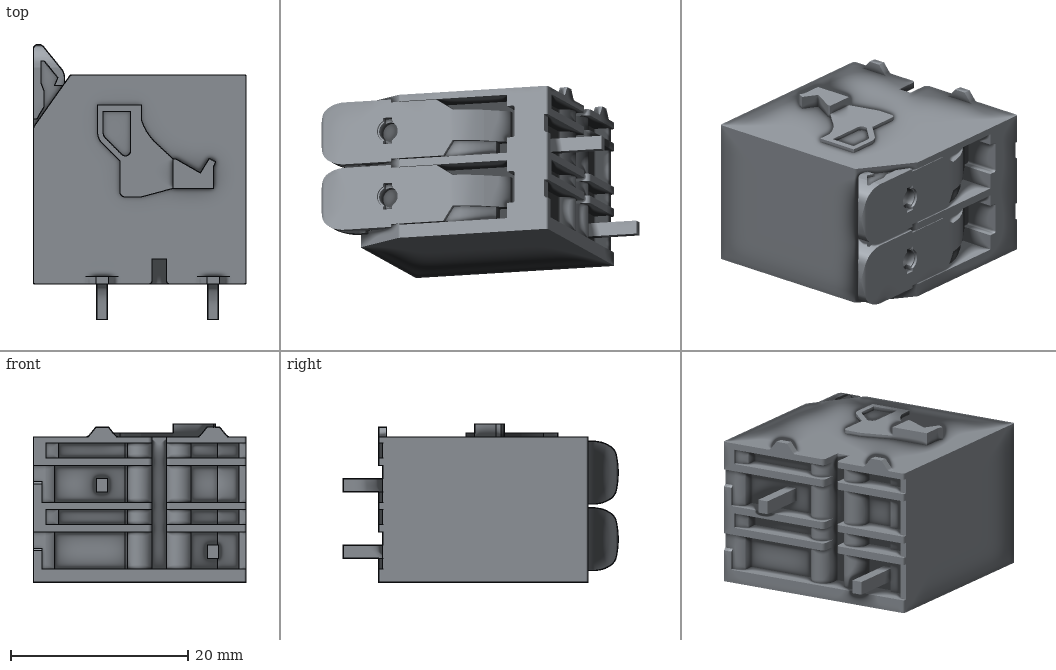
import cadquery as cq
import math


WIDTH = 24.0
DEPTH = 23.6
HEIGHT = 16.4
CORNER_RADIUS = 0.24
PITCH = 7.5
POLES = 2
CHAMFER_START_Y = 17.65
CHAMFER_WIDTH = 4.2
BEVEL_EDGE_RADIUS = 0.4

BASE_THICKNESS = 1.5
PIN_POCKET_HEIGHT = 4.15
SLOT_POCKET_BOTTOM = 6.5
SLOT_POCKET_HEIGHT = 1.68
POCKET_DEPTH = 2.2
RIGHT_POCKET_DEPTH = 2.65
STEP_POCKET_DEPTH = 2.15
PIN_POCKET_LEFT = 1.0
LEFT_POST_X = 1.42
LEDGE_DEPTH = 0.44
PIN_POST_END_X = 2.4
SLOT_POST_END_X = 2.85
PIN_POST_CORNER_Y = 0.9
SLOT_POST_CORNER_Y = 0.84
POST_MID_DROP = 0.3
POCKET_CORNER_RADIUS = 0.2
STEP_X = 20.75
RIGHT_WALL_X = 23.17
COLUMN_RADIUS = 1.4
COLUMN_CENTER_Y = 2.1
RIGHT_COLUMN_SIDE_Y = 1.65
LEFT_COLUMN_ROOT = 0.27
SIDE_NOTCH_BOTTOM = 3.6
SIDE_NOTCH_TOP = BASE_THICKNESS + PIN_POCKET_HEIGHT

SLOT_LEFT = 13.4
SLOT_RIGHT = 15.0
SLOT_DEPTH = 2.83
SLOT_MOUTH_RADIUS = 0.45

EAR_CENTERS = (7.77, 20.3)
EAR_HEIGHT = 1.1
EAR_DEPTH = 0.88
EAR_TOP_HALF = 0.7
EAR_BASE_HALF = 1.6
EAR_ROOT = 0.2

PLATE_THICKNESS = 0.45
HOOK_HEIGHT = 1.45
HOOK_LEFT = 15.77
HOOK_FRONT = 10.8
HOOK_RIGHT = 20.3
HOOK_TOP = 14.1
HOOK_CREST_WIDTH = 0.33
HOOK_NOTCH = (18.83, 12.54)
HOOK_NECK = (HOOK_RIGHT, 13.2)
HOOK_BARB = ((20.55, 13.8), (19.83, 14.15))
PLATE_LEFT = 7.25
PLATE_RIGHT = 12.17
PLATE_BACK = 20.2
PLATE_FRONT = 9.83
PLATE_NECK_X = 9.76
PLATE_NECK_RADIUS = 0.6
PLATE_NECK_TOP = 13.9
PLATE_BEND = ((7.75, 15.9), (7.38, 16.45), (PLATE_LEFT, 17.1))
PLATE_SWEEP = ((PLATE_RIGHT, 18.56), (12.75, 17.25), (13.63, 16.1))
WINDOW_LEFT = 7.88
WINDOW_RIGHT = 10.97
WINDOW_BACK = 19.47
WINDOW_TIP = ((WINDOW_RIGHT, 15.0), (10.6, 14.5), (10.0, 14.6))
WINDOW_BEND = ((8.2, 16.4), (7.96, 16.72), (WINDOW_LEFT, 17.1))

PIN_WIDTH = 1.2
PIN_THICKNESS = 1.5
PIN_LENGTH = 4.0
PIN_BOTTOM = 2.7
PIN_CENTERS = (20.25, 7.75)

BAY_BOTTOM = 1.5
BAY_HEIGHT = 6.64
BAY_FRONT = 4.84
BAY_NOTCH_FRONT = 3.92
BAY_NOTCH_BOTTOM = 3.25
BAY_NOTCH_RADIUS = 0.25
BAY_DEPTH = 4.0
LEVER_MID = 4.86
LEVER_WIDTH = 7.1
LEVER_CORE_WIDTH = 6.45
LEVER_TIP_Y = 27.0
LEVER_TIP_FLAT_Y = 26.5
LEVER_TIP_RADIUS = LEVER_TIP_Y - LEVER_TIP_FLAT_Y
LEVER_BACK_X = 3.54
LEVER_CAP_FRONT = 18.6
LEVER_END_START_Y = 24.4
LEVER_END_BEVEL = (24.82, 3.48)
LEVER_END_SHOULDER = ((25.4, 3.33), (25.93, 3.07))
LEVER_END_CORNER = ((26.48, 2.62), (26.8, 1.9))
LEVER_END_CROWN = ((26.95, 1.0), (LEVER_TIP_Y, 0))
LEVER_TIP_ROUND = ((0.8, LEVER_TIP_Y), (1.0, 26.9), (1.2, 26.7))
LEVER_HEEL_ROUND = ((3.1, 24.35), (3.45, 23.75), (LEVER_BACK_X, 23.1))
COVER_EDGE = ((0.4, LEVER_CAP_FRONT), (1.22, 20.0), (1.22, 21.75), (0.9, 22.6), (0.9, 25.16))
LATCH_EDGE = ((1.22, 25.16), (2.77, 23.27), (2.4, 22.4), (LEVER_BACK_X, 22.4))
LEVER_FLAT_END_Y = 12.4
TAIL_BOTTOM = 3.35
TAIL_TOP = 6.86
TAIL_RADIUS = 7.4
TAIL_ARC_END_Y = 8.03
TAIL_FRONT = 5.5
LOWER_TAIL_ARC_END_Y = 8.6
LOWER_TAIL_FRONT = 7.0
LOWER_TAIL_SETBACK = 0.6
SHOULDER_TOP_Y = 13.2
SHOULDER_TAIL_Y = 11.3

HOLE_Y = 19.0
HOLE_DIAMETER = 2.2
HOLE_MOUTH_DIAMETER = 2.5
HOLE_MOUTH_DEPTH = 0.3
HOLE_DEPTH = 1.8
KEY_WIDTH = 1.05
KEY_SPAN = 3.0
KEY_DEPTH = 1.0

CHAMFER_SLOPE = CHAMFER_WIDTH / (DEPTH - CHAMFER_START_Y)
DIAGONAL = math.sqrt(0.5)


def box(x0, x1, y0, y1, z0, z1):
    """Block between two opposite corners."""
    return cq.Workplane("XY").box(x1 - x0, y1 - y0, z1 - z0, centered=False).translate((x0, y0, z0))


def bevel_x(y):
    """X of the bevelled housing edge at a given Y."""
    return (y - CHAMFER_START_Y) * CHAMFER_SLOPE


def make_shell():
    """Solid housing block with the bevelled corner that the levers lie on."""
    outline = [(0, 0), (WIDTH, 0), (WIDTH, DEPTH), (CHAMFER_WIDTH, DEPTH), (0, CHAMFER_START_Y)]
    block = cq.Workplane("XY").polyline(outline).close().extrude(HEIGHT)
    block = block.edges("|Z and <Y").fillet(CORNER_RADIUS)
    block = block.edges("|Z").edges(">(1,1,0)").fillet(CORNER_RADIUS)
    bevel_edges = cq.selectors.BoxSelector(
        (-BEVEL_EDGE_RADIUS, CHAMFER_START_Y - BEVEL_EDGE_RADIUS, 0),
        (CHAMFER_WIDTH + BEVEL_EDGE_RADIUS, DEPTH + BEVEL_EDGE_RADIUS, HEIGHT),
    )
    return block.edges("|Z").edges(bevel_edges).fillet(BEVEL_EDGE_RADIUS)


def corner_arc(sketch, start, end, center):
    """Run straight to start, then a quarter arc to end about a given centre."""
    chord_mid = ((start[0] + end[0]) / 2, (start[1] + end[1]) / 2)
    stretch = math.sqrt(2)
    mid = tuple(c + (m - c) * stretch for c, m in zip(center, chord_mid))
    return sketch.lineTo(*start).threePointArc(mid, end)


def pocket_profile(left_x, post_end_x, post_corner_y):
    """Plan outline of a pin-side pocket, following right wall, step, columns and left post."""
    r = POCKET_CORNER_RADIUS
    sketch = cq.Workplane("XY").moveTo(left_x, 0).lineTo(WIDTH, 0).lineTo(WIDTH, LEDGE_DEPTH)
    for x, front_y, back_y in (
        (RIGHT_WALL_X, LEDGE_DEPTH, STEP_POCKET_DEPTH),
        (STEP_X, STEP_POCKET_DEPTH, RIGHT_POCKET_DEPTH),
    ):
        sketch = corner_arc(sketch, (x + r, front_y), (x, front_y + r), (x + r, front_y + r))
        sketch = corner_arc(sketch, (x, back_y - r), (x - r, back_y), (x - r, back_y - r))

    column_front_y = COLUMN_CENTER_Y - COLUMN_RADIUS
    left_column_x = SLOT_LEFT - 2 * COLUMN_RADIUS
    right_column_x = SLOT_RIGHT + 2 * COLUMN_RADIUS
    sketch = (
        sketch.lineTo(right_column_x, RIGHT_POCKET_DEPTH)
        .lineTo(right_column_x, RIGHT_COLUMN_SIDE_Y)
        .threePointArc((SLOT_RIGHT + COLUMN_RADIUS, column_front_y), (SLOT_RIGHT, RIGHT_COLUMN_SIDE_Y))
        .lineTo(SLOT_LEFT, COLUMN_CENTER_Y)
        .threePointArc((SLOT_LEFT - COLUMN_RADIUS, column_front_y), (left_column_x, COLUMN_CENTER_Y))
        .lineTo(left_column_x - LEFT_COLUMN_ROOT, POCKET_DEPTH)
    )
    post_root_y = POCKET_DEPTH - r
    post_root_x = post_end_x + r
    sketch = corner_arc(sketch, (post_root_x, POCKET_DEPTH), (post_end_x, post_root_y), (post_root_x, post_root_y))
    post_mid = (
        (LEFT_POST_X + post_end_x) / 2,
        LEDGE_DEPTH + (post_corner_y - LEDGE_DEPTH) * POST_MID_DROP,
    )
    sketch = sketch.lineTo(post_end_x, post_corner_y).threePointArc(post_mid, (LEFT_POST_X, LEDGE_DEPTH))
    if left_x < LEFT_POST_X:
        sketch = sketch.lineTo(left_x, LEDGE_DEPTH)
    return sketch.close()


def make_pole_pockets():
    """Pin pocket, slot pocket and side notch of the lower pole."""
    pin_pocket = pocket_profile(PIN_POCKET_LEFT, PIN_POST_END_X, PIN_POST_CORNER_Y).extrude(PIN_POCKET_HEIGHT)
    pin_pocket = pin_pocket.translate((0, 0, BASE_THICKNESS))
    slot_pocket = pocket_profile(LEFT_POST_X, SLOT_POST_END_X, SLOT_POST_CORNER_Y).extrude(SLOT_POCKET_HEIGHT)
    slot_pocket = slot_pocket.translate((0, 0, SLOT_POCKET_BOTTOM))
    notch = box(0, LEFT_POST_X, 0, LEDGE_DEPTH, SIDE_NOTCH_BOTTOM, SIDE_NOTCH_TOP)
    notch = notch.edges("|X and >Y and <Z").chamfer(CORNER_RADIUS)
    return pin_pocket.union(slot_pocket).union(notch)


def make_central_slot():
    """Vertical slot between the columns, flared by rounded plate corners at its mouth."""
    r = SLOT_MOUTH_RADIUS
    inset = r * (1 - DIAGONAL)
    return (
        cq.Workplane("XY")
        .workplane(offset=BASE_THICKNESS)
        .moveTo(SLOT_LEFT - r, 0)
        .threePointArc((SLOT_LEFT - inset, inset), (SLOT_LEFT, r))
        .lineTo(SLOT_LEFT, SLOT_DEPTH)
        .lineTo(SLOT_RIGHT, SLOT_DEPTH)
        .lineTo(SLOT_RIGHT, r)
        .threePointArc((SLOT_RIGHT + inset, inset), (SLOT_RIGHT + r, 0))
        .close()
        .extrude(HEIGHT - BASE_THICKNESS)
    )


def make_lever_bay():
    """Opening in the X = 0 side for the lower lever, with a shallow notch at its front end."""
    top = BAY_BOTTOM + BAY_HEIGHT
    bay = box(0, BAY_DEPTH, BAY_FRONT, CHAMFER_START_Y, BAY_BOTTOM, top)
    notch = box(0, BAY_DEPTH, BAY_NOTCH_FRONT, BAY_FRONT, BAY_NOTCH_BOTTOM, TAIL_TOP)
    notch = notch.edges("|X and <Y").fillet(BAY_NOTCH_RADIUS)
    return bay.union(notch)


def make_ear(center_x):
    """Trapezoidal ear on the top front edge."""
    flank = math.hypot(EAR_BASE_HALF - EAR_TOP_HALF, EAR_HEIGHT)
    root_x = EAR_BASE_HALF - EAR_ROOT * (EAR_BASE_HALF - EAR_TOP_HALF) / flank
    root_z = HEIGHT + EAR_ROOT * EAR_HEIGHT / flank
    foot_x = EAR_BASE_HALF + EAR_ROOT
    top_z = HEIGHT + EAR_HEIGHT
    half_ear = (
        cq.Workplane("XZ")
        .moveTo(0, HEIGHT)
        .lineTo(0, top_z)
        .lineTo(EAR_TOP_HALF, top_z)
        .lineTo(root_x, root_z)
        .tangentArcPoint((foot_x, HEIGHT), relative=False)
        .close()
        .extrude(-EAR_DEPTH)
    )
    return half_ear.union(half_ear.mirror("YZ")).translate((center_x, 0, 0))


def make_top_relief():
    """Raised plate with a window, and the taller hook beside it."""
    plane = cq.Workplane("XY").workplane(offset=HEIGHT)
    r = PLATE_NECK_RADIUS
    neck_corner = (PLATE_NECK_X + r * (1 - DIAGONAL), PLATE_FRONT + r * (1 - DIAGONAL))
    plate = (
        plane.moveTo(PLATE_LEFT, PLATE_BACK)
        .lineTo(PLATE_RIGHT, PLATE_BACK)
        .lineTo(*PLATE_SWEEP[0])
        .threePointArc(*PLATE_SWEEP[1:])
        .lineTo(HOOK_LEFT, HOOK_TOP)
        .lineTo(HOOK_LEFT, HOOK_FRONT)
        .lineTo(PLATE_RIGHT, PLATE_FRONT)
        .lineTo(PLATE_NECK_X + r, PLATE_FRONT)
        .threePointArc(neck_corner, (PLATE_NECK_X, PLATE_FRONT + r))
        .lineTo(PLATE_NECK_X, PLATE_NECK_TOP)
        .lineTo(*PLATE_BEND[0])
        .threePointArc(*PLATE_BEND[1:])
        .close()
        .extrude(PLATE_THICKNESS)
    )
    window = (
        plane.moveTo(WINDOW_LEFT, WINDOW_BACK)
        .lineTo(WINDOW_RIGHT, WINDOW_BACK)
        .lineTo(*WINDOW_TIP[0])
        .threePointArc(*WINDOW_TIP[1:])
        .lineTo(*WINDOW_BEND[0])
        .threePointArc(*WINDOW_BEND[1:])
        .close()
        .extrude(PLATE_THICKNESS)
    )
    hook_outline = [
        (HOOK_LEFT, HOOK_FRONT),
        (HOOK_RIGHT, HOOK_FRONT),
        HOOK_NECK,
        *HOOK_BARB,
        HOOK_NOTCH,
        (HOOK_LEFT + HOOK_CREST_WIDTH, HOOK_TOP),
        (HOOK_LEFT, HOOK_TOP),
    ]
    hook = plane.polyline(hook_outline).close().extrude(HOOK_HEIGHT)
    return plate.cut(window).union(hook)


def make_pin(center_x, bottom_z):
    """Square solder pin rooted in the back wall of its pocket."""
    half = PIN_WIDTH / 2
    return box(center_x - half, center_x + half, -PIN_LENGTH, SLOT_DEPTH, bottom_z, bottom_z + PIN_THICKNESS)


def lever_head_profile():
    """Plan outline of the lever from its rounded tip down to the front of its wide head."""
    r = LEVER_TIP_RADIUS
    outline = cq.Workplane("XY").moveTo(0, LEVER_CAP_FRONT).lineTo(0, LEVER_TIP_FLAT_Y)
    outline = outline.threePointArc((r * (1 - DIAGONAL), LEVER_TIP_FLAT_Y + r * DIAGONAL), (r, LEVER_TIP_Y))
    for start, mid, end in (LEVER_TIP_ROUND, LEVER_HEEL_ROUND):
        outline = outline.lineTo(*start).threePointArc(mid, end)
    outline = outline.lineTo(LEVER_BACK_X, CHAMFER_START_Y + LEVER_BACK_X / CHAMFER_SLOPE)
    return outline.lineTo(bevel_x(LEVER_CAP_FRONT), LEVER_CAP_FRONT).close()


def lever_end_shape():
    """Rounded lever outline in the Y-Z plane, used to trim the lever tip."""
    half = LEVER_WIDTH / 2
    half_end = (
        cq.Workplane("YZ")
        .moveTo(0, 0)
        .lineTo(0, half)
        .lineTo(LEVER_END_START_Y, half)
        .lineTo(*LEVER_END_BEVEL)
        .threePointArc(*LEVER_END_SHOULDER)
        .threePointArc(*LEVER_END_CORNER)
        .threePointArc(*LEVER_END_CROWN)
        .close()
        .extrude(BAY_DEPTH)
    )
    return half_end.union(half_end.mirror("XY"))


def lever_side_recess():
    """Shallow recess on a lever cheek, between its cover edge and its latch edge."""
    outline = [
        (0, LEVER_CAP_FRONT),
        *COVER_EDGE,
        *LATCH_EDGE,
        (bevel_x(CHAMFER_START_Y), CHAMFER_START_Y),
    ]
    return cq.Workplane("XY").polyline(outline).close().extrude((LEVER_WIDTH - LEVER_CORE_WIDTH) / 2)


def lever_tail(start_y, arc_end_y, front_y, setback):
    """Plan outline of a lever tail: flat from start_y, then curving away from X = 0, then straight."""
    drop = LEVER_FLAT_END_Y - arc_end_y
    end_angle = math.asin(drop / TAIL_RADIUS)

    def arc_point(angle):
        x = setback + TAIL_RADIUS * (1 - math.cos(angle))
        return x, LEVER_FLAT_END_Y - TAIL_RADIUS * math.sin(angle)

    arc_end_x = arc_point(end_angle)[0]
    front_x = arc_end_x + (arc_end_y - front_y) * math.tan(end_angle)
    return (
        cq.Workplane("XY")
        .moveTo(setback, start_y)
        .lineTo(*arc_point(0))
        .threePointArc(arc_point(end_angle / 2), (arc_end_x, arc_end_y))
        .lineTo(front_x, front_y)
        .lineTo(BAY_DEPTH, front_y)
        .lineTo(BAY_DEPTH, start_y)
        .close()
    )


def make_lever():
    """Lower lever: wide head over the bevel, narrower core and curved tail in the bay."""
    half = LEVER_WIDTH / 2
    core_half = LEVER_CORE_WIDTH / 2
    head = lever_head_profile().extrude(LEVER_WIDTH).translate((0, 0, -half))
    head = head.intersect(lever_end_shape())
    recess = lever_side_recess()
    head = head.cut(recess.translate((0, 0, core_half))).cut(recess.translate((0, 0, -half)))

    tail_top = TAIL_TOP - LEVER_MID
    tail_bottom = TAIL_BOTTOM - LEVER_MID
    core_side = [
        (LEVER_CAP_FRONT, -core_half),
        (LEVER_CAP_FRONT, core_half),
        (SHOULDER_TOP_Y, core_half),
        (SHOULDER_TAIL_Y, tail_top),
        (TAIL_FRONT, tail_top),
        (TAIL_FRONT, tail_bottom),
        (SHOULDER_TAIL_Y, tail_bottom),
        (LEVER_FLAT_END_Y, -core_half),
    ]
    core = lever_tail(LEVER_CAP_FRONT, TAIL_ARC_END_Y, TAIL_FRONT, 0).extrude(LEVER_WIDTH)
    core = core.translate((0, 0, -half))
    core = core.intersect(cq.Workplane("YZ").polyline(core_side).close().extrude(BAY_DEPTH))

    lower_tail = lever_tail(SHOULDER_TOP_Y, LOWER_TAIL_ARC_END_Y, LOWER_TAIL_FRONT, LOWER_TAIL_SETBACK)
    lower_tail = lower_tail.extrude(tail_bottom + core_half).translate((0, 0, -core_half))
    return head.union(core).union(lower_tail).translate((0, 0, LEVER_MID))


def make_lever_hole():
    """Stepped round hole with two keyways in the lower lever."""
    plane = cq.Workplane("YZ").center(HOLE_Y, LEVER_MID)
    bore = plane.circle(HOLE_DIAMETER / 2).extrude(HOLE_DEPTH)
    mouth = plane.circle(HOLE_MOUTH_DIAMETER / 2).extrude(HOLE_MOUTH_DEPTH)
    keys = plane.rect(KEY_WIDTH, KEY_SPAN).extrude(KEY_DEPTH)
    return bore.union(mouth).union(keys)


result = make_shell().cut(make_central_slot())
for pole in range(POLES):
    rise = (0, 0, pole * PITCH)
    result = result.cut(make_pole_pockets().translate(rise))
    result = result.cut(make_lever_bay().translate(rise))
    result = result.union(make_lever().translate(rise))
    result = result.cut(make_lever_hole().translate(rise))
    result = result.union(make_pin(PIN_CENTERS[pole], PIN_BOTTOM + pole * PITCH))
for ear_x in EAR_CENTERS:
    result = result.union(make_ear(ear_x))
result = result.union(make_top_relief())